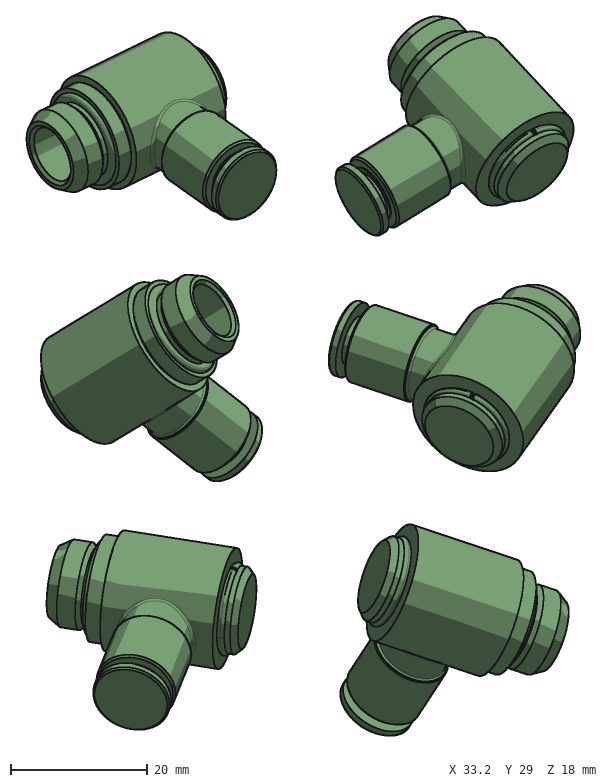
import cadquery as cq


body_radius = 9.0
body_half_length = 8.5

cap_radius = 6.55
cap_chamfer = 0.95
rear_end = 11.5
ring_section_radius = 0.55
ring_groove_width = 1.15
ring_outer_radius = 6.95
ring_gap_width = 0.53
ring_gap_offset = 1.1
ring_center_radius = ring_outer_radius - ring_section_radius
ring_groove_radius = ring_center_radius - ring_section_radius / 2
ring_groove_end = body_half_length + ring_groove_width

relief_radius = 7.8
relief_width = 0.15
collar_radius = 8.0
collar_end = 11.0
seal_outer_radius = 7.3
neck_radius = 5.85
neck_end = 12.2
spigot_radius = cap_radius
spigot_start = 12.88
taper_start = 15.67
front_end = 17.5
tip_radius = 5.4
seal_section_radius = (seal_outer_radius - neck_radius) / 2
seal_center_radius = neck_radius + seal_section_radius

bore_radius = 4.25
bore_mouth_radius = 4.75
bore_chamfer = bore_mouth_radius - bore_radius
bore_bottom = 0.0
bore_cone_height = 2.45

branch_neck_radius = 5.48
branch_neck_fillet = 0.45
sleeve_start = 11.55
sleeve_end = 21.48
sleeve_radius = 5.98
sleeve_inner_chamfer = 0.15
sleeve_outer_chamfer = 0.3
shoulder_flare = 0.33
rim_radius = 4.4
rim_end = 21.6
release_neck_radius = 3.65
flange_start = 22.95
branch_end = 33.2 - body_radius
flange_radius = 5.78
flange_chamfer = 0.25


def cylinder_y(radius, start, end):
    """Cylinder about the main axis between two Y positions."""
    return cq.Workplane("XZ", origin=(0, start, 0)).circle(radius).extrude(start - end)


def revolve_y(profile):
    """Turn a closed (radius, Y) profile about the main axis."""
    return profile.close().revolve(360, (0, 0, 0), (0, 1, 0))


def make_rear_cap():
    """Chamfered cap with a split ring half sunk into its groove."""
    cap = revolve_y(
        cq.Workplane("XY")
        .moveTo(0, 0)
        .lineTo(ring_groove_radius, 0)
        .lineTo(ring_groove_radius, ring_groove_end)
        .lineTo(cap_radius, ring_groove_end)
        .lineTo(cap_radius, rear_end - cap_chamfer)
        .lineTo(cap_radius - cap_chamfer, rear_end)
        .lineTo(0, rear_end)
    )
    ring = (
        cq.Workplane("XY")
        .center(ring_center_radius, body_half_length + ring_groove_width / 2)
        .circle(ring_section_radius)
        .revolve(360, (-ring_center_radius, 0, 0), (-ring_center_radius, 1, 0))
    )
    gap = cq.Workplane("XY").box(
        ring_gap_width, ring_groove_width, ring_outer_radius, centered=(True, False, False)
    ).translate((-ring_gap_offset, body_half_length, 0))
    return cap.union(ring.cut(gap))


def make_front_spigot():
    """Collar, half-round seal and tapered spigot."""
    relief_end = body_half_length + relief_width
    return revolve_y(
        cq.Workplane("XY")
        .moveTo(0, 0)
        .lineTo(relief_radius, 0)
        .lineTo(relief_radius, -relief_end)
        .lineTo(collar_radius, -relief_end)
        .lineTo(collar_radius, -collar_end)
        .lineTo(seal_outer_radius, -collar_end)
        .threePointArc(
            (seal_center_radius, -collar_end - seal_section_radius), (neck_radius, -collar_end)
        )
        .lineTo(neck_radius, -neck_end)
        .lineTo(spigot_radius, -spigot_start)
        .lineTo(spigot_radius, -taper_start)
        .lineTo(tip_radius, -front_end)
        .lineTo(0, -front_end)
    )


def make_bore():
    return revolve_y(
        cq.Workplane("XY")
        .moveTo(0, -front_end)
        .lineTo(bore_mouth_radius, -front_end)
        .lineTo(bore_radius, -front_end + bore_chamfer)
        .lineTo(bore_radius, bore_bottom)
        .lineTo(0, bore_bottom + bore_cone_height)
    )


def make_branch_end():
    """Sleeve with a flared shoulder, and the flanged release collar at its mouth."""
    flare_radius = branch_neck_radius + shoulder_flare
    profile = (
        cq.Workplane("XY")
        .moveTo(sleeve_start - shoulder_flare, 0)
        .lineTo(sleeve_start - shoulder_flare, branch_neck_radius)
        .radiusArc((sleeve_start, flare_radius), -shoulder_flare)
        .lineTo(sleeve_start + sleeve_inner_chamfer, sleeve_radius)
        .lineTo(sleeve_end - sleeve_outer_chamfer, sleeve_radius)
        .lineTo(sleeve_end, sleeve_radius - sleeve_outer_chamfer)
        .lineTo(sleeve_end, rim_radius)
        .lineTo(rim_end, rim_radius)
        .lineTo(rim_end, release_neck_radius)
        .lineTo(flange_start, release_neck_radius)
        .lineTo(flange_start, flange_radius)
        .lineTo(branch_end - flange_chamfer, flange_radius)
        .lineTo(branch_end, flange_radius - flange_chamfer)
        .lineTo(branch_end, 0)
        .close()
    )
    return profile.revolve(360, (0, 0, 0), (1, 0, 0))


def make_body_with_branch_neck():
    """Main cylinder and branch neck, blended where they meet."""
    body = cylinder_y(body_radius, -body_half_length, body_half_length)
    neck = cq.Workplane("YZ").circle(branch_neck_radius).extrude(sleeve_start - shoulder_flare)
    joint = cq.selectors.BoxSelector(
        (0.33, -branch_neck_radius - 0.33, -branch_neck_radius - 0.33),
        (body_radius + 0.33, branch_neck_radius + 0.33, branch_neck_radius + 0.33),
        boundingbox=True,
    )
    return body.union(neck).edges(joint).fillet(branch_neck_fillet)


result = (
    make_body_with_branch_neck()
    .union(make_branch_end())
    .union(make_rear_cap())
    .union(make_front_spigot())
    .cut(make_bore())
)